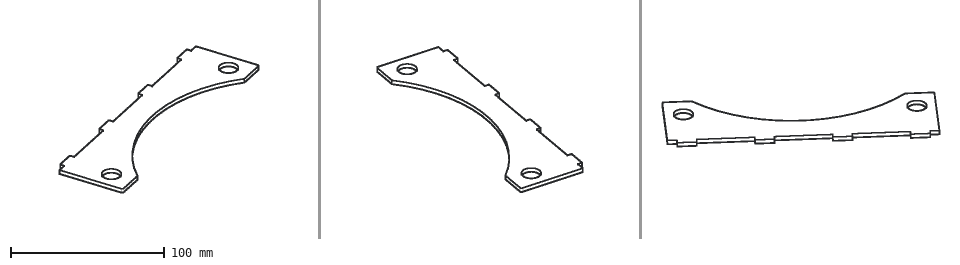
import cadquery as cq

length = 177.8
width = 50.9
thickness = 3.0
corner_radius = 1.2

tab_depth = 3.2
tab_length = 12.8
tab_count = 4
tab_pitch = 50.9

hole_diameter = 12.8
hole_x = 35.0
hole_spacing = tab_pitch * (tab_count - 1)

relief_min_x = 21.9
relief_half_opening = 69.7
relief_depth = width - relief_min_x
relief_radius = (relief_half_opening**2 + relief_depth**2) / (2 * relief_depth)


def make_plate():
    """Rectangular body with its two +X corners rounded."""
    body_width = width - tab_depth
    plate = cq.Workplane("XY").box(body_width, length, thickness, centered=(False, True, False))
    return plate.edges("|Z and >X").fillet(corner_radius).translate((tab_depth, 0, 0))


def make_tabs():
    """Row of tabs that reach one tab depth into the body so that they fuse."""
    return (
        cq.Workplane("XY")
        .center(tab_depth, 0)
        .rarray(1.8, tab_pitch, 1, tab_count)
        .rect(2 * tab_depth, tab_length)
        .extrude(thickness)
    )


def make_relief():
    """Cylinder that scoops out the +X edge."""
    return cq.Workplane("XY").center(relief_min_x + relief_radius, 0).circle(relief_radius).extrude(thickness)


def make_holes():
    """Pair of through holes near the two ends."""
    return (
        cq.Workplane("XY")
        .center(hole_x, 0)
        .rarray(1.8, hole_spacing, 1, 2)
        .circle(hole_diameter / 2)
        .extrude(thickness)
    )


result = make_plate().union(make_tabs()).cut(make_relief()).cut(make_holes())